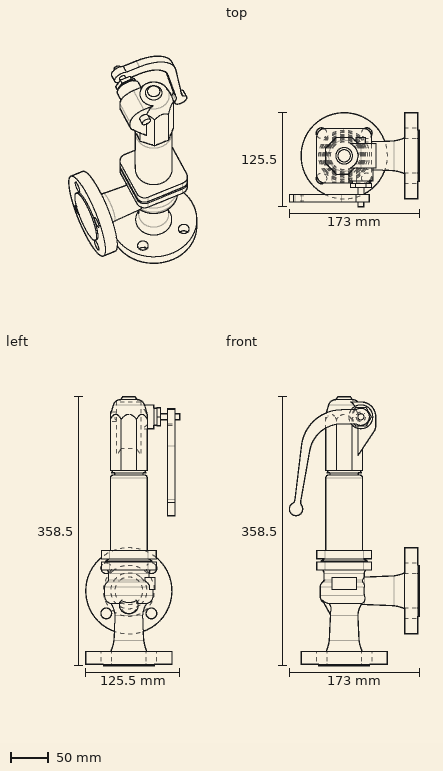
import cadquery as cq
import math


FACE_DISTANCE = 100.0
FLANGE_RADIUS = 57.5
FLANGE_BACK = 19.5
FACING_RADIUS = 34.0
FACING_HEIGHT = 2.0
BOLT_CIRCLE_RADIUS = 42.5
BOLT_HOLE_DIAMETER = 14.0
BOLT_COUNT = 4
FLARE_RADIUS = 24.0
FLARE_END = 33.7
NECK_WIDE_RADIUS = 20.0
NECK_NARROW_RADIUS = 18.4
FLARE_SAG = 0.5

NECK_TOP = 67.0
BOWL_BASE_RADIUS = 23.5
BOWL_BASE_Z = 83.0
BOWL_RADIUS = 32.1
BOWL_LOW_Z = 94.0
BOWL_FLARE_POINT = (20.0, 75.5)
BOWL_ROUND_POINT = (29.6, 86.3)
BOWL_HIGH_Z = 104.8
SHOULDER_RADIUS = 28.8
SHOULDER_Z = 111.5
COLLAR_RADIUS = 27.0
COLLAR_LOW_Z = 114.7
COLLAR_HIGH_Z = 123.3
COLLAR_TOP_RADIUS = 28.6

SQUARE_SIDE = 73.0
SQUARE_CORNER_RADIUS = 11.0
SQUARE_THICKNESS = 11.2
LOWER_SQUARE_Z = 127.4
UPPER_SQUARE_Z = 142.5
JOINT_DISC_RADIUS = 31.0
JOINT_DISC_HEIGHT = 1.0
JOINT_TOP_RADIUS = 26.0

SLEEVE_RADIUS = 24.6
SLEEVE_EDGE_Z = 250.3
SLEEVE_TOP_Z = 254.2
SLEEVE_TOP_RADIUS = 21.0
GROOVE_RADIUS = 19.0
GROOVE_TOP_Z = 256.9
LIP_RADIUS = 23.0
LIP_TOP_RADIUS = 21.5
CAP_BOTTOM_Z = 260.0
CAP_SIDES = 8
CAP_ACROSS_FLATS = 49.2
CAP_TAPER_Z = 328.3
DOME_Z = 347.4
DOME_RADIUS = 20.7
CROWN_Z = 354.5
CROWN_RADIUS = 11.0
BUTTON_RADIUS = 8.2
TOP_Z = 358.5

PIVOT_X = 22.2
PIVOT_Z = 331.5
HOUSING_RADIUS = 20.0
HOUSING_HALF_WIDTH = 16.2
HOUSING_TIP_X = 18.0
HOUSING_TIP_Z = 279.4
HOUSING_SIDE_Z = 321.0
HOUSING_SLOPE_X = 39.7
HOUSING_SLOPE_Z = 311.7
STUB_RADIUS = 6.2
STUB_END_Y = 24.2
BOSS_RADIUS = 15.9
BOSS_END_Y = -33.4
GLAND_RADIUS = 11.4
NUT_BACK_Y = -37.2
NUT_FRONT_Y = -42.2
NUT_SIDES = 6
NUT_ACROSS_FLATS = 24.4
PIN_RADIUS = 4.1
PIN_END_Y = -68.0

LEVER_BACK_Y = -51.3
LEVER_FRONT_Y = -61.5
LEVER_HUB_RADIUS = 11.3
LEVER_HALF_WIDTH = 9.4
LEVER_BEND_X = -3.3
OUTER_BEND_RADIUS = 54.0
OUTER_BEND_ANGLE = 84.0
INNER_BEND_RADIUS = 43.0
INNER_BEND_ANGLE = 79.7
KNOB_END_X = -73.03
KNOB_Z = 208.8
KNOB_RADIUS = 9.0
KNOB_X = KNOB_END_X + KNOB_RADIUS
KNOB_NECK_LEFT_X = -65.6
KNOB_NECK_RIGHT_X = -57.2
KNOB_BLEND_MIDDLE = (-57.7, 217.8)
KNOB_NECK_Z = 221.5
KNOB_BLEND_Z = 214.2

PLATE_WIDTH = 33.0
PLATE_BOTTOM_Z = 101.6
PLATE_TOP_Z = 118.0
PLATE_FACE_Y = -35.0
DRAIN_RADIUS = 12.5
DRAIN_X = -25.1
DRAIN_Z = 80.3
DRAIN_TILT = 29.0
DRAIN_LENGTH = 22.0


def turned(profile):
    """Revolve a (radius, height) profile about Z."""
    return profile.close().revolve(360, (0, 0, 0), (0, 1, 0))


def cylinder_y(radius, start_y, end_y):
    """Cylinder along the lever pivot axis, between two Y positions."""
    return (
        cq.Workplane("XZ", origin=(PIVOT_X, start_y, PIVOT_Z))
        .circle(radius)
        .extrude(start_y - end_y)
    )


def flanged_neck(neck_narrow_at, neck_end):
    """Flange with raised face, flare and tapered neck, sealing face at Z = 0."""
    flare_middle = (
        (FLARE_RADIUS + NECK_WIDE_RADIUS) / 2 - FLARE_SAG,
        (FLANGE_BACK + FLARE_END) / 2,
    )
    body = turned(
        cq.Workplane("XZ")
        .lineTo(FACING_RADIUS, 0)
        .lineTo(FACING_RADIUS, FACING_HEIGHT)
        .lineTo(FLANGE_RADIUS, FACING_HEIGHT)
        .lineTo(FLANGE_RADIUS, FLANGE_BACK)
        .lineTo(FLARE_RADIUS, FLANGE_BACK)
        .threePointArc(flare_middle, (NECK_WIDE_RADIUS, FLARE_END))
        .lineTo(NECK_NARROW_RADIUS, neck_narrow_at)
        .lineTo(NECK_NARROW_RADIUS, neck_end)
        .lineTo(0, neck_end)
    )
    holes = (
        cq.Workplane("XY")
        .polarArray(BOLT_CIRCLE_RADIUS, 180 / BOLT_COUNT, 360, BOLT_COUNT)
        .circle(BOLT_HOLE_DIAMETER / 2)
        .extrude(FLANGE_BACK)
    )
    return body.cut(holes)


def make_inlet():
    """Inlet pipe, running up into the body."""
    return flanged_neck(NECK_TOP, FACE_DISTANCE)


def make_outlet():
    """Outlet pipe, lying along +X and running into the body."""
    outlet = flanged_neck(FACE_DISTANCE - COLLAR_RADIUS, FACE_DISTANCE)
    return outlet.rotate((0, 0, 0), (0, 1, 0), -90).translate((FACE_DISTANCE, 0, FACE_DISTANCE))


def make_bowl():
    """Rounded body with its collar, from the inlet neck to the lower square flange."""
    return turned(
        cq.Workplane("XZ")
        .moveTo(0, BOWL_LOW_Z)
        .lineTo(0, NECK_TOP)
        .lineTo(NECK_NARROW_RADIUS, NECK_TOP)
        .threePointArc(BOWL_FLARE_POINT, (BOWL_BASE_RADIUS, BOWL_BASE_Z))
        .threePointArc(BOWL_ROUND_POINT, (BOWL_RADIUS, BOWL_LOW_Z))
        .lineTo(BOWL_RADIUS, BOWL_HIGH_Z)
        .tangentArcPoint((SHOULDER_RADIUS, SHOULDER_Z), relative=False)
        .tangentArcPoint((COLLAR_RADIUS, COLLAR_LOW_Z), relative=False)
        .lineTo(COLLAR_RADIUS, COLLAR_HIGH_Z)
        .tangentArcPoint((COLLAR_TOP_RADIUS, LOWER_SQUARE_Z), relative=False)
        .lineTo(0, LOWER_SQUARE_Z)
    )


def square_flange(bottom_z):
    """Square plate with rounded corners."""
    return (
        cq.Workplane("XY", origin=(0, 0, bottom_z))
        .rect(SQUARE_SIDE, SQUARE_SIDE)
        .extrude(SQUARE_THICKNESS)
        .edges("|Z")
        .fillet(SQUARE_CORNER_RADIUS)
    )


def make_sleeve():
    """Joint disc between the square flanges, sleeve, groove and lip below the cap."""
    joint_z = LOWER_SQUARE_Z + SQUARE_THICKNESS
    return turned(
        cq.Workplane("XZ")
        .moveTo(0, joint_z)
        .lineTo(JOINT_DISC_RADIUS, joint_z)
        .lineTo(JOINT_DISC_RADIUS, joint_z + JOINT_DISC_HEIGHT)
        .lineTo(JOINT_TOP_RADIUS, UPPER_SQUARE_Z)
        .lineTo(SLEEVE_RADIUS, UPPER_SQUARE_Z)
        .lineTo(SLEEVE_RADIUS, SLEEVE_EDGE_Z)
        .tangentArcPoint((SLEEVE_TOP_RADIUS, SLEEVE_TOP_Z), relative=False)
        .lineTo(GROOVE_RADIUS, SLEEVE_TOP_Z)
        .lineTo(GROOVE_RADIUS, GROOVE_TOP_Z)
        .lineTo(LIP_RADIUS, GROOVE_TOP_Z)
        .lineTo(LIP_TOP_RADIUS, CAP_BOTTOM_Z)
        .lineTo(0, CAP_BOTTOM_Z)
    )


def make_cap():
    """Octagonal cap whose top is turned to a taper, a dome and a button."""
    corner_radius = CAP_ACROSS_FLATS / 2 / math.cos(math.pi / CAP_SIDES)
    octagon = (
        cq.Workplane("XY", origin=(0, 0, CAP_BOTTOM_Z))
        .transformed(rotate=(0, 0, 180 / CAP_SIDES))
        .polygon(CAP_SIDES, 2 * corner_radius)
        .extrude(TOP_Z - CAP_BOTTOM_Z)
    )
    envelope = turned(
        cq.Workplane("XZ")
        .moveTo(0, CAP_BOTTOM_Z)
        .lineTo(corner_radius, CAP_BOTTOM_Z)
        .lineTo(corner_radius, CAP_TAPER_Z)
        .lineTo(DOME_RADIUS, DOME_Z)
        .tangentArcPoint((CROWN_RADIUS, CROWN_Z), relative=False)
        .lineTo(BUTTON_RADIUS, TOP_Z)
        .lineTo(0, TOP_Z)
    )
    return octagon.intersect(envelope)


def make_lifting_housing():
    """Housing beside the cap, with stub, boss, gland, nut and lever pin on the pivot axis."""
    housing = (
        cq.Workplane("XZ", origin=(0, HOUSING_HALF_WIDTH, 0))
        .moveTo(0, HOUSING_TIP_Z)
        .lineTo(HOUSING_TIP_X, HOUSING_TIP_Z)
        .lineTo(HOUSING_SLOPE_X, HOUSING_SLOPE_Z)
        .tangentArcPoint((PIVOT_X + HOUSING_RADIUS, HOUSING_SIDE_Z), relative=False)
        .lineTo(PIVOT_X + HOUSING_RADIUS, PIVOT_Z)
        .tangentArcPoint((PIVOT_X, PIVOT_Z + HOUSING_RADIUS), relative=False)
        .lineTo(0, PIVOT_Z + HOUSING_RADIUS)
        .close()
        .extrude(2 * HOUSING_HALF_WIDTH)
    )
    nut = (
        cq.Workplane("XZ", origin=(PIVOT_X, NUT_BACK_Y, PIVOT_Z))
        .polygon(NUT_SIDES, NUT_ACROSS_FLATS / math.cos(math.pi / NUT_SIDES))
        .extrude(NUT_BACK_Y - NUT_FRONT_Y)
    )
    return (
        housing
        .union(cylinder_y(STUB_RADIUS, STUB_END_Y, 0))
        .union(cylinder_y(BOSS_RADIUS, 0, BOSS_END_Y))
        .union(cylinder_y(GLAND_RADIUS, BOSS_END_Y, NUT_BACK_Y))
        .union(nut)
        .union(cylinder_y(PIN_RADIUS, NUT_FRONT_Y, PIN_END_Y))
    )


def bend_end(start_x, start_z, radius, angle):
    """End of an arc that leaves (start_x, start_z) toward -X and turns down."""
    turn = math.radians(angle)
    return (start_x - radius * math.sin(turn), start_z - radius * (1 - math.cos(turn)))


def make_lever():
    """Flat curved lever with a hub at the pivot and a round knob at its end."""
    top_z = PIVOT_Z + LEVER_HALF_WIDTH
    low_z = PIVOT_Z - LEVER_HALF_WIDTH
    outer_end = bend_end(LEVER_BEND_X, top_z, OUTER_BEND_RADIUS, OUTER_BEND_ANGLE)
    outer_mid = bend_end(LEVER_BEND_X, top_z, OUTER_BEND_RADIUS, OUTER_BEND_ANGLE / 2)
    inner_end = bend_end(LEVER_BEND_X, low_z, INNER_BEND_RADIUS, INNER_BEND_ANGLE)
    inner_mid = bend_end(LEVER_BEND_X, low_z, INNER_BEND_RADIUS, INNER_BEND_ANGLE / 2)
    blend_reach = math.sqrt(KNOB_RADIUS**2 - (KNOB_BLEND_Z - KNOB_Z) ** 2)
    thickness = LEVER_BACK_Y - LEVER_FRONT_Y
    arm = (
        cq.Workplane("XZ", origin=(0, LEVER_BACK_Y, 0))
        .moveTo(PIVOT_X, top_z)
        .lineTo(LEVER_BEND_X, top_z)
        .threePointArc(outer_mid, outer_end)
        .lineTo(KNOB_NECK_LEFT_X, KNOB_NECK_Z)
        .tangentArcPoint((KNOB_X - blend_reach, KNOB_BLEND_Z), relative=False)
        .lineTo(KNOB_X + blend_reach, KNOB_BLEND_Z)
        .threePointArc(KNOB_BLEND_MIDDLE, (KNOB_NECK_RIGHT_X, KNOB_NECK_Z))
        .lineTo(*inner_end)
        .threePointArc(inner_mid, (LEVER_BEND_X, low_z))
        .lineTo(PIVOT_X, low_z)
        .close()
        .extrude(thickness)
    )
    knob = (
        cq.Workplane("XZ", origin=(KNOB_X, LEVER_BACK_Y, KNOB_Z))
        .circle(KNOB_RADIUS)
        .extrude(thickness)
    )
    return arm.union(knob).union(cylinder_y(LEVER_HUB_RADIUS, LEVER_BACK_Y, LEVER_FRONT_Y))


def make_name_plate():
    """Plate on the -Y side of the body, reaching in to the valve axis."""
    height = PLATE_TOP_Z - PLATE_BOTTOM_Z
    return (
        cq.Workplane("XY", origin=(0, PLATE_FACE_Y, PLATE_BOTTOM_Z))
        .box(PLATE_WIDTH, -PLATE_FACE_Y, height, centered=(True, False, False))
    )


def make_drain_boss():
    """Cylindrical boss with a plain sloping face, low on the -X side of the body."""
    tilt = math.radians(DRAIN_TILT)
    inward = cq.Vector(math.cos(tilt), 0, math.sin(tilt))
    boss = cq.Solid.makeCylinder(DRAIN_RADIUS, DRAIN_LENGTH, cq.Vector(DRAIN_X, 0, DRAIN_Z), inward)
    return cq.Workplane(obj=boss)


result = (
    make_inlet()
    .union(make_bowl())
    .union(make_outlet())
    .union(make_drain_boss())
    .union(make_name_plate())
    .union(square_flange(LOWER_SQUARE_Z))
    .union(make_sleeve())
    .union(square_flange(UPPER_SQUARE_Z))
    .union(make_cap())
    .union(make_lifting_housing())
    .union(make_lever())
)